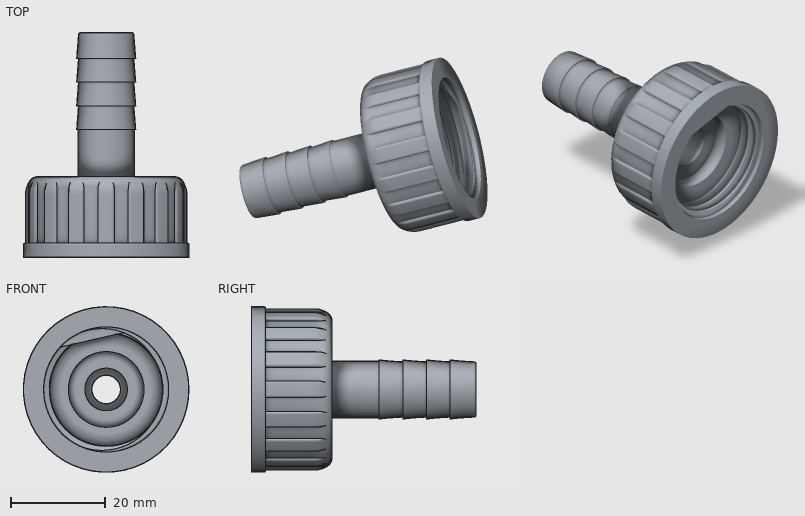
import cadquery as cq
import math


NUT_LENGTH = 17.05
NUT_RADIUS = 16.5
NUT_TOP_ROUND = 2.05
RIM_RADIUS = 35.0 / 2
RIM_LENGTH = 3.0
RIM_ROUND = 0.4

RIB_COUNT = 16
RIB_WIDTH = 3.5
RIB_RADIUS = 17.05
RIB_EDGE_ROUND = 0.5
RIB_ROOT_RADIUS = 14.0
RIB_START = RIM_LENGTH / 2
RIB_END = 16.3
RIB_STRAIGHT_END = 13.3
RIB_TOP_ROUND = 4.9

THREAD_MAJOR_RADIUS = 26.44 / 2
THREAD_MINOR_RADIUS = 24.0 / 2
THREAD_PITCH = 2.2
THREAD_CREST = 0.44
THREAD_FLANK = 0.48
THREAD_OVERCUT = 0.3
ENTRY_DEPTH = 1.0

GASKET_RADIUS = 23.8 / 2
GASKET_HOLE_RADIUS = 16.0 / 2
GASKET_START = 6.0
GASKET_THICKNESS = 3.0
GASKET_END = GASKET_START + GASKET_THICKNESS

FLANGE_RADIUS = 22.0 / 2
FLANGE_SEAT_RADIUS = 22.5 / 2
FLANGE_THICKNESS = 3.0
FLANGE_END = GASKET_END + FLANGE_THICKNESS
SHANK_RADIUS = 12.0 / 2
TAIL_END = 47.5
BARB_COUNT = 4
BARB_PITCH = 5.0
FIRST_BARB_START = 27.0
BARB_LARGE_RADIUS = 6.25
BARB_SMALL_RADIUS = 5.85
ENTRY_BORE_RADIUS = 9.0 / 2
BORE_RADIUS = 6.0 / 2
ENTRY_BORE_END = NUT_LENGTH


def cylinder(radius, start, end):
    """Solid cylinder on the Y axis between two y positions."""
    return cq.Workplane("XZ", origin=(0, start, 0)).circle(radius).extrude(start - end)


def revolve_about_y(profile):
    """Turn a closed (radius, y) profile about the Y axis."""
    return profile.close().revolve(360, (0, 0, 0), (0, 1, 0))


def rounded_end_profile(radius, straight_end, round_radius):
    """Half profile of a bar from y = 0 whose far end curves inwards to its end face."""
    arc_centre_radius = radius - round_radius
    diagonal_step = round_radius * math.sqrt(0.5)
    return (
        cq.Workplane("XY")
        .lineTo(radius, 0)
        .lineTo(radius, straight_end)
        .threePointArc(
            (arc_centre_radius + diagonal_step, straight_end + diagonal_step),
            (arc_centre_radius, straight_end + round_radius),
        )
        .lineTo(0, straight_end + round_radius)
    )


def make_rib():
    """One grip rib at +Z: a straight crown that curves inwards, with rounded long edges."""
    crown = revolve_about_y(rounded_end_profile(RIB_RADIUS, RIB_STRAIGHT_END, RIB_TOP_ROUND))
    bar = (
        cq.Workplane("XY", origin=(0, RIB_START, RIB_ROOT_RADIUS))
        .box(RIB_WIDTH, RIB_END - RIB_START, RIB_RADIUS - RIB_ROOT_RADIUS, centered=(True, False, False))
    )
    rib = bar.intersect(crown)
    return rib.faces("<X or >X").edges("not (<Y or >Y or <Z)").fillet(RIB_EDGE_ROUND)


def make_thread_groove():
    """Right-handed helical groove with sloping flanks and a flat root, over the threaded length."""
    mouth_radius = THREAD_MINOR_RADIUS - THREAD_OVERCUT
    flank_slope = THREAD_FLANK / (THREAD_MAJOR_RADIUS - THREAD_MINOR_RADIUS)
    root_half = (THREAD_PITCH - THREAD_CREST) / 2 - THREAD_FLANK
    mouth_half = root_half + flank_slope * (THREAD_MAJOR_RADIUS - mouth_radius)
    helix_start = ENTRY_DEPTH - 1.5 * THREAD_PITCH
    helix_length = GASKET_END + THREAD_PITCH - helix_start
    helix = cq.Wire.makeHelix(THREAD_PITCH, helix_length, THREAD_MINOR_RADIUS)
    groove = (
        cq.Workplane("XZ")
        .polyline(
            [
                (mouth_radius, -mouth_half),
                (THREAD_MAJOR_RADIUS, -root_half),
                (THREAD_MAJOR_RADIUS, root_half),
                (mouth_radius, mouth_half),
            ]
        )
        .close()
        .sweep(cq.Workplane(helix), isFrenet=True)
        .rotate((0, 0, 0), (1, 0, 0), -90)
        .translate((0, helix_start, 0))
    )
    return groove.intersect(cylinder(RIM_RADIUS, ENTRY_DEPTH, GASKET_END))


def make_nut():
    """Ribbed union nut with a rim, threaded socket, tail flange seat and shank hole."""
    body = revolve_about_y(
        rounded_end_profile(NUT_RADIUS, NUT_LENGTH - NUT_TOP_ROUND, NUT_TOP_ROUND)
    )
    rim = cylinder(RIM_RADIUS, 0, RIM_LENGTH).faces(">Y").edges().fillet(RIM_ROUND)
    nut = body.union(rim)
    rib = make_rib()
    for index in range(RIB_COUNT):
        nut = nut.union(rib.rotate((0, 0, 0), (0, 1, 0), index * 360 / RIB_COUNT))
    return (
        nut.cut(cylinder(SHANK_RADIUS, 0, NUT_LENGTH))
        .cut(cylinder(FLANGE_SEAT_RADIUS, 0, FLANGE_END))
        .cut(cylinder(THREAD_MINOR_RADIUS, 0, GASKET_END))
        .cut(cylinder(THREAD_MAJOR_RADIUS, 0, ENTRY_DEPTH))
        .cut(make_thread_groove())
    )


def make_gasket():
    """Flat sealing ring pressed against the flange of the hose tail."""
    hole = cylinder(GASKET_HOLE_RADIUS, GASKET_START, GASKET_END)
    return cylinder(GASKET_RADIUS, GASKET_START, GASKET_END).cut(hole)


def make_hose_tail():
    """Flanged tube with a row of barbs and a stepped bore."""
    profile = (
        cq.Workplane("XY")
        .moveTo(0, GASKET_END)
        .lineTo(FLANGE_RADIUS, GASKET_END)
        .lineTo(FLANGE_RADIUS, FLANGE_END)
        .lineTo(SHANK_RADIUS, FLANGE_END)
        .lineTo(SHANK_RADIUS, FIRST_BARB_START)
    )
    for index in range(BARB_COUNT):
        barb_start = FIRST_BARB_START + index * BARB_PITCH
        profile = profile.lineTo(BARB_LARGE_RADIUS, barb_start)
        profile = profile.lineTo(BARB_SMALL_RADIUS, barb_start + BARB_PITCH)
    tip_start = FIRST_BARB_START + BARB_COUNT * BARB_PITCH
    tip_round = TAIL_END - tip_start
    profile = profile.radiusArc((BARB_SMALL_RADIUS - tip_round, TAIL_END), -tip_round).lineTo(0, TAIL_END)
    return (
        revolve_about_y(profile)
        .cut(cylinder(BORE_RADIUS, GASKET_END, TAIL_END))
        .cut(cylinder(ENTRY_BORE_RADIUS, GASKET_END, ENTRY_BORE_END))
    )


nut = make_nut()
gasket = make_gasket()
hose_tail = make_hose_tail()

result = cq.Compound.makeCompound([*nut.solids().vals(), *gasket.solids().vals(), *hose_tail.solids().vals()])